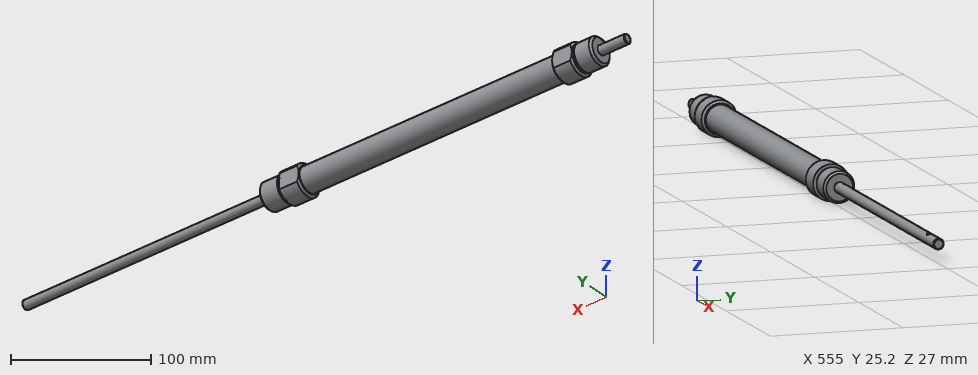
import cadquery as cq

rod_length = 555.0
rod_radius = 4.0
rod_end_chamfer = 0.6
pin_hole_radius = 2.2
pin_hole_inset = 20.2

tube_radius = 10.6
neck_radius = 10.0
nut_radius = 11.7
nut_face_radius = 10.0
collar_radius = 13.5
collar_face_radius = 11.5

front_nut_start = 24.5
front_nut_end = 39.8
front_collar_start = 42.0
front_collar_end = 60.4
rear_collar_start = 293.6
rear_collar_end = 311.4
rear_nut_start = 313.8
rear_nut_end = 331.0
nut_chamfer_length = 1.8
collar_chamfer_length = 1.5

flat_offset = nut_radius


def turn_about_x(profile):
    """Revolve (x, radius) points, closed along the X axis, into a solid."""
    first_x = profile[0][0]
    last_x = profile[-1][0]
    outline = [(first_x, 0.0)] + profile + [(last_x, 0.0)]
    return cq.Workplane("XY").polyline(outline).close().revolve(360, (0, 0, 0), (1, 0, 0))


def make_rod():
    rod = turn_about_x([(0.0, rod_radius), (rod_length, rod_radius)])
    rod = rod.faces("<X or >X").chamfer(rod_end_chamfer)
    for x in (pin_hole_inset, rod_length - pin_hole_inset):
        pin_hole = cq.Workplane("XY").center(x, 0).circle(pin_hole_radius).extrude(rod_radius)
        rod = rod.cut(pin_hole)
    return rod


def cut_collar_flat(body, start, end):
    length = end - start
    depth = collar_radius - flat_offset
    waste = (
        cq.Workplane("XY")
        .box(length, depth, 2 * collar_radius, centered=(False, False, True))
        .translate((start, flat_offset, 0))
    )
    return body.cut(waste)


def make_cylinder():
    profile = [
        (front_nut_start, nut_face_radius),
        (front_nut_start + nut_chamfer_length, nut_radius),
        (front_nut_end, nut_radius),
        (front_nut_end, neck_radius),
        (front_collar_start, neck_radius),
        (front_collar_start, collar_face_radius),
        (front_collar_start + collar_chamfer_length, collar_radius),
        (front_collar_end - collar_chamfer_length, collar_radius),
        (front_collar_end, collar_face_radius),
        (front_collar_end, tube_radius),
        (rear_collar_start, tube_radius),
        (rear_collar_start, collar_face_radius),
        (rear_collar_start + collar_chamfer_length, collar_radius),
        (rear_collar_end, collar_radius),
        (rear_collar_end, neck_radius),
        (rear_nut_start, neck_radius),
        (rear_nut_start, nut_radius),
        (rear_nut_end - nut_chamfer_length, nut_radius),
        (rear_nut_end, nut_face_radius),
    ]
    cylinder = turn_about_x(profile)
    cylinder = cut_collar_flat(cylinder, front_collar_start, front_collar_end)
    cylinder = cut_collar_flat(cylinder, rear_collar_start, rear_collar_end)
    bore = turn_about_x([(front_nut_start, rod_radius), (rear_nut_end, rod_radius)])
    return cylinder.cut(bore)


rod = make_rod()
cylinder = make_cylinder()

result = cq.Compound.makeCompound([rod.val(), cylinder.val()])